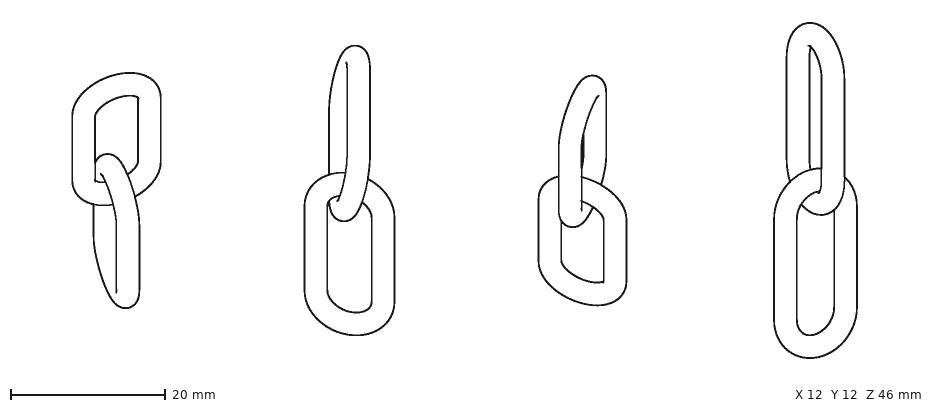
import cadquery as cq

chain_length = 46.0
link_width = 12.0
wire_diameter = 3.0

link_length = chain_length / 2 + wire_diameter
bend_radius = (link_width - wire_diameter) / 2
straight_length = link_length - link_width
link_offset = (chain_length - link_length) / 2


def make_link():
    """Round-wire oval link in the XZ plane, centred on the origin, long side along Z."""
    half_straight = straight_length / 2
    bend_top = half_straight + bend_radius
    centerline = (
        cq.Workplane("XZ")
        .moveTo(bend_radius, -half_straight)
        .lineTo(bend_radius, half_straight)
        .threePointArc((0, bend_top), (-bend_radius, half_straight))
        .lineTo(-bend_radius, -half_straight)
        .threePointArc((0, -bend_top), (bend_radius, -half_straight))
        .close()
    )
    return (
        cq.Workplane("XY")
        .workplane(offset=-half_straight)
        .center(bend_radius, 0)
        .circle(wire_diameter / 2)
        .sweep(centerline)
    )


links = []
for turn, center_z in [(0, -link_offset), (90, link_offset)]:
    link = make_link().rotate((0, 0, 0), (0, 0, 1), turn).translate((0, 0, center_z))
    links.append(link.val())

result = cq.Compound.makeCompound([*links])